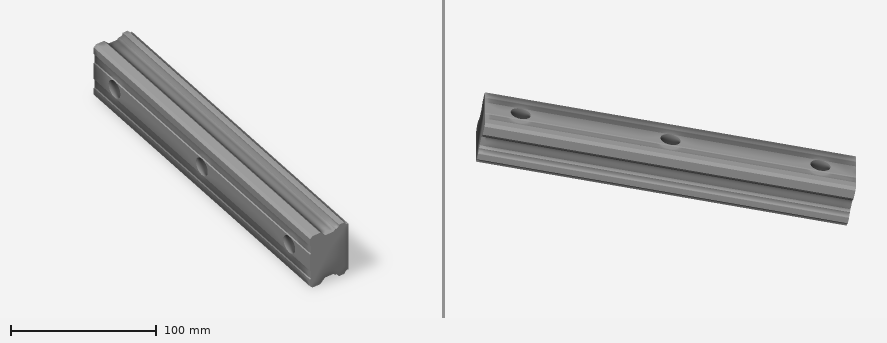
import cadquery as cq

length = 260.0
depth = 32.0
height = 45.0
half_height = height / 2
back_y = depth / 2
front_y = -depth / 2

shoulder_height = 20.0
shoulder_width = 1.5
head_start = 3.5
head_end = 7.8
race_height = 20.0
race_end = 11.0
race_middle = (8.5, 20.5)
waist_height = 18.5
waist_start = 12.5
waist_end = 19.5
foot_start = 23.5
foot_chamfer_depth = 2.0
foot_chamfer_height = 1.8

groove_inner = 7.0
groove_outer = 14.8
groove_depth = 0.8
groove_slope = 0.5

hole_diameter = 14.0
hole_pitch = 105.0
hole_count = 3


def upper_half_rail():
    """Extrude the half of the rail above the centre plane."""

    def place(distance, z):
        return (back_y - distance, z)

    half_profile = (
        cq.Workplane("YZ")
        .moveTo(*place(0, 0))
        .lineTo(*place(0, shoulder_height))
        .lineTo(*place(shoulder_width, shoulder_height))
        .lineTo(*place(head_start, half_height))
        .lineTo(*place(head_end, half_height))
        .threePointArc(place(*race_middle), place(race_end, race_height))
        .lineTo(*place(waist_start, waist_height))
        .lineTo(*place(waist_end, waist_height))
        .lineTo(*place(foot_start, half_height))
        .lineTo(*place(depth - foot_chamfer_depth, half_height))
        .lineTo(*place(depth, half_height - foot_chamfer_height))
        .lineTo(*place(depth, groove_outer))
        .lineTo(*place(depth - groove_depth, groove_outer - groove_slope))
        .lineTo(*place(depth - groove_depth, groove_inner + groove_slope))
        .lineTo(*place(depth, groove_inner))
        .lineTo(*place(depth, 0))
        .close()
    )
    return half_profile.extrude(length / 2, both=True)


def mounting_holes():
    """Return the row of round cutters running from front to back."""
    return (
        cq.Workplane("XZ", origin=(0, front_y, 0))
        .rarray(hole_pitch, 2.5, hole_count, 1)
        .circle(hole_diameter / 2)
        .extrude(-depth)
    )


upper_half = upper_half_rail()
rail = upper_half.union(upper_half.mirror("XY")).clean()
result = rail.cut(mounting_holes())